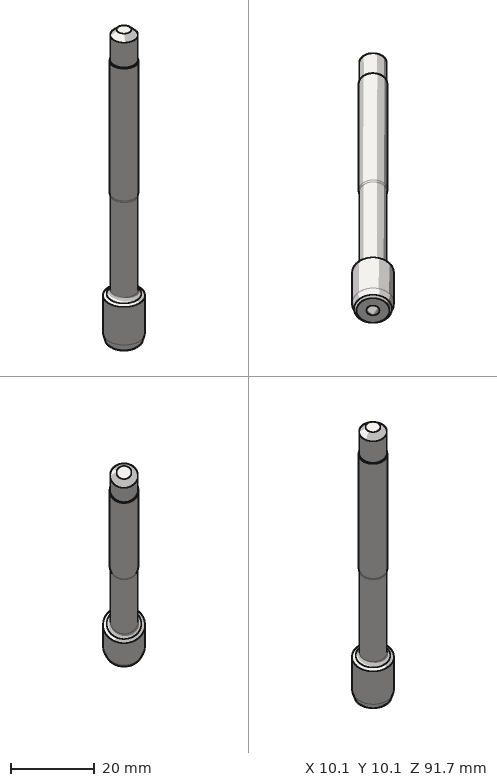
import cadquery as cq
import math

total_length = 91.65
tip_height = 1.6
lead_bottom = 2.1
lead_top = 4.0
head_side_top = 14.9
middle_bottom = 44.0
middle_bottom_taper = 0.55
middle_top = 82.9
middle_top_taper = 0.3

neck_radius = 6.7 / 2
middle_radius = 7.0 / 2
head_radius = 10.1 / 2
tip_radius = tip_height
head_bottom_radius = 3.9

lead_angle = math.radians(15)
shoulder_angle = math.radians(25)
neck_fillet = 1.4
end_chamfer = 1.6

lead_bottom_radius = head_radius - (lead_top - lead_bottom) * math.tan(lead_angle)
seat_radius = neck_radius + neck_fillet * (1 - math.sin(shoulder_angle))
seat_height = head_side_top + (head_radius - seat_radius) * math.tan(shoulder_angle)
fillet_top = seat_height + neck_fillet * math.cos(shoulder_angle)
fillet_mid_angle = (math.pi / 2 - shoulder_angle) / 2
fillet_mid = (
    neck_radius + neck_fillet * (1 - math.cos(fillet_mid_angle)),
    fillet_top - neck_fillet * math.sin(fillet_mid_angle),
)


def revolve_about_z(profile):
    """Close a half profile drawn in XZ and turn it about the Z axis."""
    return profile.close().revolve(360, (0, 0, 0), (0, 1, 0))


def make_head():
    """Head with a conical point, a tapered lead and a sloping shoulder."""
    profile = (
        cq.Workplane("XZ")
        .lineTo(tip_radius, tip_height)
        .lineTo(head_bottom_radius, tip_height)
        .lineTo(lead_bottom_radius, lead_bottom)
        .lineTo(head_radius, lead_top)
        .lineTo(head_radius, head_side_top)
        .lineTo(seat_radius, seat_height)
        .lineTo(0, seat_height)
    )
    return revolve_about_z(profile)


def make_shank():
    """Shank standing on the head, with a slightly thicker middle stretch."""
    profile = (
        cq.Workplane("XZ")
        .moveTo(0, seat_height)
        .lineTo(seat_radius, seat_height)
        .threePointArc(fillet_mid, (neck_radius, fillet_top))
        .lineTo(neck_radius, middle_bottom)
        .lineTo(middle_radius, middle_bottom + middle_bottom_taper)
        .lineTo(middle_radius, middle_top - middle_top_taper)
        .lineTo(neck_radius, middle_top)
        .lineTo(neck_radius, total_length - end_chamfer)
        .lineTo(neck_radius - end_chamfer, total_length)
        .lineTo(0, total_length)
    )
    return revolve_about_z(profile)


head = make_head()
shank = make_shank()

result = cq.Compound.makeCompound([head.val(), shank.val()])